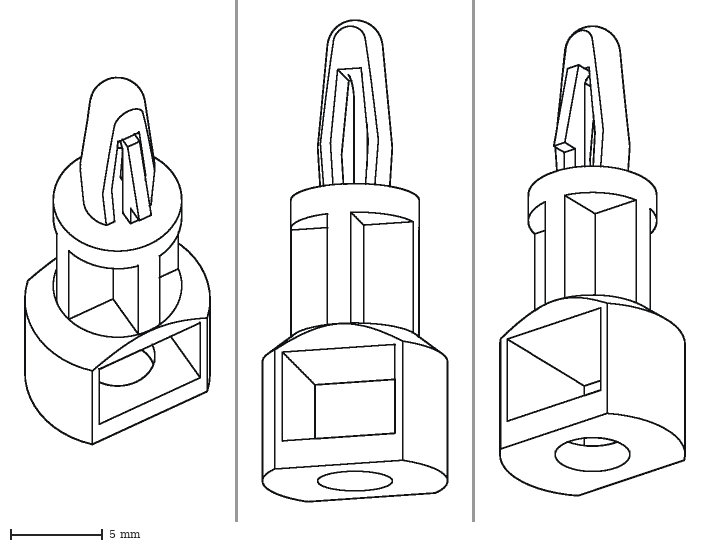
import cadquery as cq

base_diameter = 10.15
base_width = 7.1
shoulder_z = 6.75
neck_z = 8.0
floor_thickness = 1.57
window_top_z = 6.6
window_width = 6.37
floor_hole_diameter = 4.1

neck_diameter = 7.05
rib_thickness = 1.33
collar_bottom_z = 14.3
collar_top_z = 15.92

total_height = 26.1
pin_width = 2.45
pin_root_diameter = 3.73
pin_bulge_diameter = 4.1
pin_tip_diameter = 3.05
bulge_z = collar_top_z + 3.0
dome_z = 24.72
slot_top_z = 23.07
slot_root_width = 1.77
slot_bulge_width = 2.15
slot_top_width = 1.33

barb_thickness = 0.75
barb_bottom_z = 16.4
barb_ledge_z = 17.8
barb_stem_x = 2.1
barb_tip_x = 3.05
barb_top_x = 1.77


def make_base():
    """Round housing with a conical shoulder, two flats, a window and a floor hole."""
    radius = base_diameter / 2
    body = (
        cq.Workplane("XZ")
        .moveTo(0, 0)
        .lineTo(radius, 0)
        .lineTo(radius, shoulder_z)
        .lineTo(neck_diameter / 2, neck_z)
        .lineTo(0, neck_z)
        .close()
        .revolve(360, (0, 0), (0, 1))
    )
    flats = cq.Workplane("XY").rect(base_width, base_diameter).extrude(neck_z)
    window = (
        cq.Workplane("XY", origin=(0, 0, floor_thickness))
        .rect(base_width, window_width)
        .extrude(window_top_z - floor_thickness)
    )
    hole = cq.Workplane("XY").circle(floor_hole_diameter / 2).extrude(floor_thickness)
    return body.intersect(flats).cut(window).cut(hole)


def make_neck():
    """Cross-shaped column, rounded at the rib ends, below a round collar."""
    column_height = collar_bottom_z - neck_z
    start = cq.Workplane("XY", origin=(0, 0, neck_z))
    ribs = start.rect(neck_diameter, rib_thickness).extrude(column_height)
    ribs = ribs.union(start.rect(rib_thickness, neck_diameter).extrude(column_height))
    column = start.circle(neck_diameter / 2).extrude(column_height).intersect(ribs)
    collar = (
        cq.Workplane("XY", origin=(0, 0, collar_bottom_z))
        .circle(neck_diameter / 2)
        .extrude(collar_top_z - collar_bottom_z)
    )
    return column.union(collar)


def make_pin():
    """Domed, bulging pin with flattened sides, split into two legs by a slot."""
    tip_radius = pin_tip_diameter / 2
    dome_center_z = total_height - tip_radius
    dome_edge_radius = (tip_radius**2 - (dome_z - dome_center_z) ** 2) ** 0.5
    dome_mid = tip_radius * 0.5**0.5
    body = (
        cq.Workplane("XZ")
        .moveTo(0, collar_top_z)
        .lineTo(pin_root_diameter / 2, collar_top_z)
        .lineTo(pin_bulge_diameter / 2, bulge_z)
        .lineTo(dome_edge_radius, dome_z)
        .threePointArc((dome_mid, dome_center_z + dome_mid), (0, total_height))
        .close()
        .revolve(360, (0, 0), (0, 1))
    )
    sides = (
        cq.Workplane("XY", origin=(0, 0, collar_top_z))
        .rect(pin_width, pin_bulge_diameter)
        .extrude(total_height - collar_top_z)
    )
    slot = (
        cq.Workplane("YZ")
        .moveTo(-slot_root_width / 2, collar_top_z)
        .lineTo(slot_root_width / 2, collar_top_z)
        .lineTo(slot_bulge_width / 2, bulge_z)
        .lineTo(slot_top_width / 2, slot_top_z)
        .lineTo(-slot_top_width / 2, slot_top_z)
        .lineTo(-slot_bulge_width / 2, bulge_z)
        .close()
        .extrude(pin_width / 2, both=True)
    )
    return body.intersect(sides).cut(slot)


def make_barb():
    """Thin barb hanging from the top of the slot by a quarter-round root."""
    face_x = pin_width / 2
    root_radius = face_x
    arc_mid = root_radius * 0.5**0.5
    arc_center_z = slot_top_z - root_radius
    return (
        cq.Workplane("XZ")
        .moveTo(face_x, barb_bottom_z)
        .lineTo(barb_stem_x, barb_bottom_z)
        .lineTo(barb_stem_x, barb_ledge_z)
        .lineTo(barb_tip_x, barb_ledge_z)
        .lineTo(barb_top_x, slot_top_z)
        .lineTo(0, slot_top_z)
        .threePointArc((arc_mid, arc_center_z + arc_mid), (face_x, arc_center_z))
        .close()
        .extrude(barb_thickness / 2, both=True)
    )


result = make_base().union(make_neck()).union(make_pin()).union(make_barb())